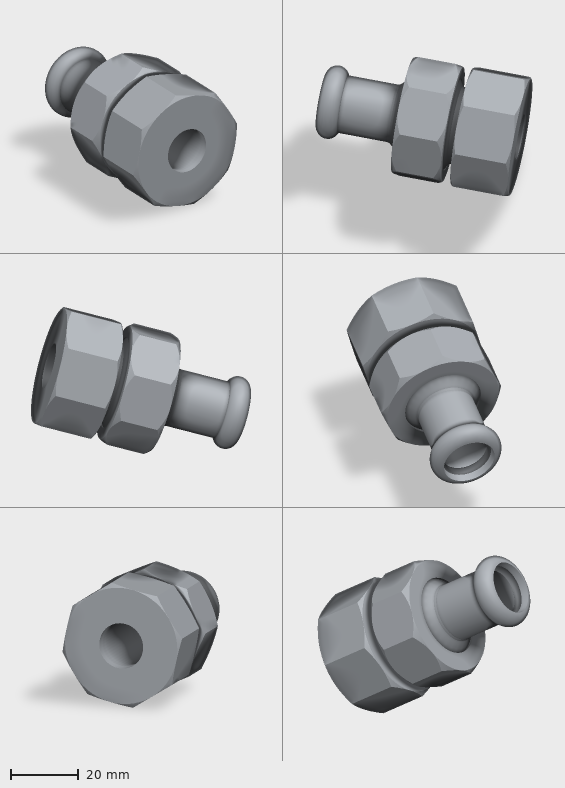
import cadquery as cq
import math

total_length = 60.2

bore_radius = 6.85
tube_radius = 8.7
bead_radius = 3.5
bead_outer_radius = 11.0
bead_axis_radius = bead_outer_radius - bead_radius
groove_radius = 1.2
mouth_radius = 7.9
flare_start = 21.75
flare_blend_end = 22.45
flare_blend_radius = 8.9
flare_end = 25.65
flange_start = 28.3
flange_end = 31.3

nut_start = 24.8
nut_end = 39.8
nut_hole_radius = 11.8
thread_radius = 13.85
nut_chamfer_length = 1.85
nut_corner_radius = 18.7
nut_angle = 1.4

neck_radius = 11.6
relief_start = 39.4
relief_end = 40.75
head_start = 42.8
head_chamfer_length = 1.0
head_corner_radius = 19.0
head_angle = 10.0

flat_count = 8


def revolve_about_x(profile):
    """Turn a closed (X, radius) profile about the X axis."""
    return profile.close().revolve(360, (0, 0, 0), (1, 0, 0))


def cylinder(start, end, radius):
    return cq.Workplane("YZ").workplane(offset=start).circle(radius).extrude(end - start)


def chamfered_octagon(start, end, corner_radius, angle, chamfer_length):
    """Octagonal bar whose corners are turned down to the flats at both ends."""
    flat_radius = corner_radius * math.cos(math.pi / flat_count)
    bar = (
        cq.Workplane("YZ")
        .workplane(offset=start)
        .polygon(flat_count, 2 * corner_radius)
        .extrude(end - start)
        .rotate((0, 0, 0), (1, 0, 0), angle)
    )
    envelope = revolve_about_x(
        cq.Workplane("XY")
        .moveTo(start, 0)
        .lineTo(start, flat_radius)
        .lineTo(start + chamfer_length, corner_radius)
        .lineTo(end - chamfer_length, corner_radius)
        .lineTo(end, flat_radius)
        .lineTo(end, 0)
    )
    return bar.intersect(envelope)


def make_insert():
    bead_front = bead_radius - math.sqrt(bead_radius**2 - (mouth_radius - bead_axis_radius)**2)
    bead_back = bead_radius + math.sqrt(bead_radius**2 - (tube_radius - bead_axis_radius)**2)
    groove_back = bead_radius + math.sqrt(groove_radius**2 - (bore_radius - bead_axis_radius)**2)
    return revolve_about_x(
        cq.Workplane("XY")
        .moveTo(bead_front, mouth_radius)
        .threePointArc((bead_radius, bead_outer_radius), (bead_back, tube_radius))
        .lineTo(flare_start, tube_radius)
        .lineTo(flare_blend_end, flare_blend_radius)
        .lineTo(flare_end, nut_hole_radius)
        .lineTo(flange_start, nut_hole_radius)
        .lineTo(flange_start, thread_radius)
        .lineTo(flange_end, thread_radius)
        .lineTo(flange_end, bore_radius)
        .lineTo(groove_back, bore_radius)
        .threePointArc(
            (bead_radius, bead_axis_radius + groove_radius),
            (bead_radius - groove_radius, bead_axis_radius),
        )
    )


def make_nut():
    nut = chamfered_octagon(nut_start, nut_end, nut_corner_radius, nut_angle, nut_chamfer_length)
    nut = nut.cut(cylinder(nut_start, nut_end, nut_hole_radius))
    return nut.cut(cylinder(flange_start, nut_end, thread_radius))


def make_body():
    head = chamfered_octagon(
        head_start, total_length, head_corner_radius, head_angle, head_chamfer_length
    )
    spigot = revolve_about_x(
        cq.Workplane("XY")
        .moveTo(flange_end, 0)
        .lineTo(flange_end, thread_radius)
        .lineTo(relief_start, thread_radius)
        .lineTo(relief_end, neck_radius)
        .lineTo(head_start, neck_radius)
        .lineTo(head_start, 0)
    )
    return head.union(spigot).cut(cylinder(flange_end, total_length, bore_radius))


insert = make_insert()
nut = make_nut()
body = make_body()

result = cq.Compound.makeCompound([insert.solids().val(), nut.solids().val(), body.solids().val()])